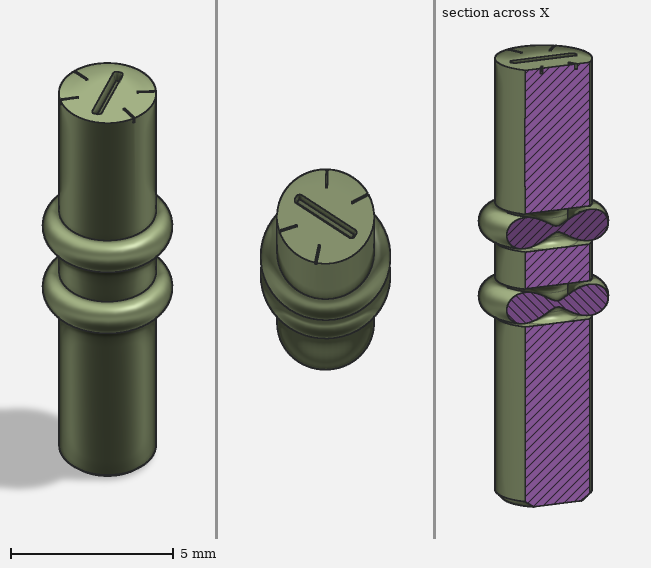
import cadquery as cq
import math

pin_length = 14.0
pin_diameter = 3.0
pin_radius = pin_diameter / 2
end_chamfer = 0.21

ring_outer_diameter = 4.0
ring_path_radius = pin_radius
ring_section_radius = ring_outer_diameter / 2 - ring_path_radius
lower_ring_height = 6.4
ring_pitch = 2.4
ring_heights = [lower_ring_height, lower_ring_height + ring_pitch]
groove_width = 1.2
groove_core_diameter = 1.5
groove_core_radius = groove_core_diameter / 2
groove_corner_radius = 0.3

slot_length = 2.2
slot_width = 0.31
slot_floor_width = 0.14
slot_depth = 0.3
slot_corner_radius = 0.11

mark_angles = [22, 152, 212, 322]
mark_inner_radius = 0.92
mark_width = 0.05
mark_depth = 0.17


def make_groove(height):
    """Annular cutter with rounded corners where the walls meet the core."""
    outer_radius = pin_radius + groove_corner_radius
    cutter = (
        cq.Workplane("XZ")
        .moveTo((groove_core_radius + outer_radius) / 2, height)
        .rect(outer_radius - groove_core_radius, groove_width)
        .revolve(360, (0, 0, 0), (0, 1, 0))
    )
    core_edges = cq.selectors.RadiusNthSelector(0)
    return cutter.edges(core_edges).fillet(groove_corner_radius)


def make_slot():
    """Slot with rounded corners, whose walls lean inward toward its floor."""
    wall_inset = (slot_width - slot_floor_width) / 2
    wall_taper = math.degrees(math.atan(wall_inset / slot_depth))
    outline = cq.Sketch().rect(slot_width, slot_length).vertices().fillet(slot_corner_radius)
    return (
        cq.Workplane("XY", origin=(0, 0, pin_length))
        .placeSketch(outline)
        .extrude(-slot_depth, taper=wall_taper)
    )


def make_mark(angle):
    """Narrow radial groove that breaks out through the rim."""
    mark_length = pin_radius - mark_inner_radius
    return (
        cq.Workplane("XY", origin=(0, 0, pin_length - mark_depth))
        .moveTo(mark_inner_radius + mark_length, 0)
        .rect(2 * mark_length, mark_width)
        .extrude(2 * mark_depth)
        .rotate((0, 0, 0), (0, 0, 1), angle)
    )


def make_pin():
    pin = cq.Workplane("XY").circle(pin_radius).extrude(pin_length)
    pin = pin.faces("<Z").chamfer(end_chamfer)
    for height in ring_heights:
        pin = pin.cut(make_groove(height))
    pin = pin.cut(make_slot())
    for angle in mark_angles:
        pin = pin.cut(make_mark(angle))
    return pin


def make_ring(height):
    """Round-section ring centred in its groove."""
    return (
        cq.Workplane("XZ")
        .moveTo(ring_path_radius, height)
        .circle(ring_section_radius)
        .revolve(360, (0, 0, 0), (0, 1, 0))
    )


pin = make_pin()
rings = [make_ring(height) for height in ring_heights]

result = cq.Compound.makeCompound([pin.val(), *[ring.val() for ring in rings]])